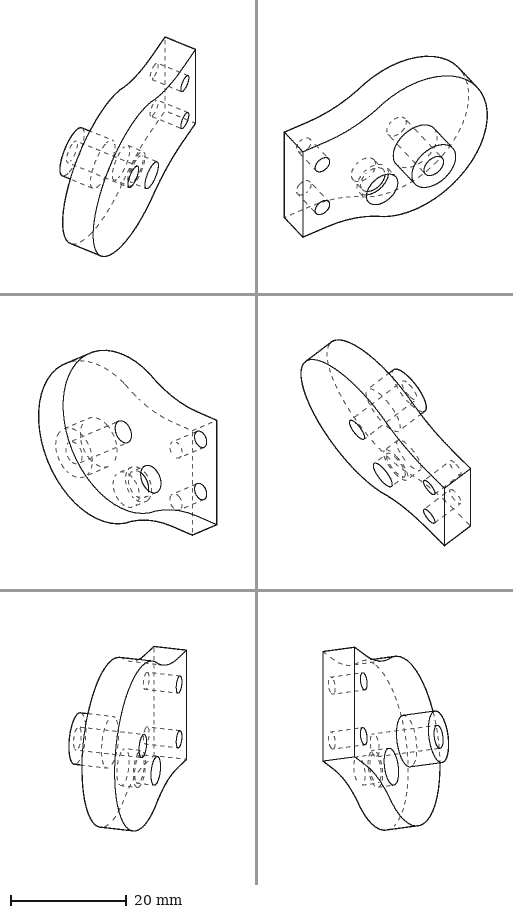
import cadquery as cq
import math

total_length = 37.85
disc_radius = 14.815
plate_thickness = 5.998
tab_width = 20.0
tab_straight_length = 4.9
neck_end_y = 8.02

boss_diameter = 9.0
boss_height = plate_thickness
bore_diameter = 4.0

mount_hole_diameter = 3.0
mount_hole_spacing = tab_width / 2
mount_hole_inset = 4.0

side_hole_offset = 6.77
side_hole_diameter = 5.0
counterbore_diameter = 6.45
counterbore_depth = plate_thickness / 2

tab_end_y = total_length - disc_radius
tab_half_width = tab_width / 2
neck_start_y = tab_end_y - tab_straight_length
neck_end_z = math.sqrt(disc_radius**2 - neck_end_y**2)


def make_plate():
    """Disc blended into a square-ended tab by two concave necks."""
    return (
        cq.Workplane("YZ")
        .moveTo(tab_end_y, -tab_half_width)
        .lineTo(tab_end_y, tab_half_width)
        .lineTo(neck_start_y, tab_half_width)
        .threePointArc(neck_middle(1), (neck_end_y, neck_end_z))
        .threePointArc((-disc_radius, 0), (neck_end_y, -neck_end_z))
        .threePointArc(neck_middle(-1), (neck_start_y, -tab_half_width))
        .close()
        .extrude(plate_thickness)
    )


def neck_middle(side):
    """Middle point of a neck arc that starts tangent to the tab side."""
    run = neck_start_y - neck_end_y
    rise = neck_end_z - tab_half_width
    radius = (run**2 + rise**2) / (2 * rise)
    half_angle = math.atan2(rise, run)
    y = neck_start_y - radius * math.sin(half_angle)
    z = tab_half_width + radius * (1 - math.cos(half_angle))
    return (y, side * z)


def cylinder(diameter, start_x, length, y=0, z=0):
    """Cylinder along +X from start_x."""
    return (
        cq.Workplane("YZ", origin=(start_x, y, z))
        .circle(diameter / 2)
        .extrude(length)
    )


result = make_plate().union(cylinder(boss_diameter, -boss_height, boss_height))

result = result.cut(cylinder(bore_diameter, -boss_height, boss_height + plate_thickness))

for side in (-1, 1):
    result = result.cut(
        cylinder(
            mount_hole_diameter,
            0,
            plate_thickness,
            y=tab_end_y - mount_hole_inset,
            z=side * mount_hole_spacing / 2,
        )
    )

for diameter, depth in (
    (side_hole_diameter, plate_thickness),
    (counterbore_diameter, counterbore_depth),
):
    result = result.cut(cylinder(diameter, 0, depth, y=side_hole_offset, z=-side_hole_offset))